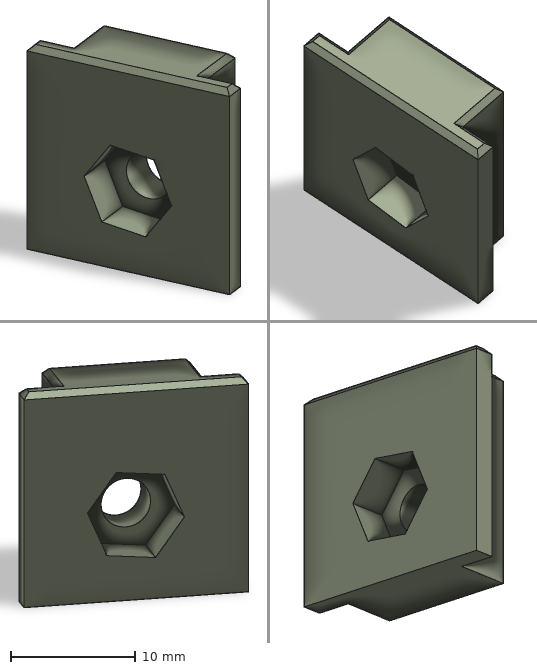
import cadquery as cq
import math

width = 18.6
depth = 6.85
height = 18.0

flange_thickness = 1.85
block_width = 12.25
block_offset = -0.05
top_chamfer = 0.5

hole_diameter = 4.1
hole_x = -0.04
hole_height = 7.15
hex_across_flats = 7.0
hex_rotation = -6.3
hex_depth = 3.5


def make_body():
    """Flange and block, bevelled around the whole top outline."""
    half_width = width / 2
    block_left = block_offset - block_width / 2
    block_right = block_offset + block_width / 2
    outline = [
        (-half_width, 0),
        (half_width, 0),
        (half_width, flange_thickness),
        (block_right, flange_thickness),
        (block_right, depth),
        (block_left, depth),
        (block_left, flange_thickness),
        (-half_width, flange_thickness),
    ]
    body = cq.Workplane("XY").polyline(outline).close().extrude(height)
    return body.faces(">Z").edges().chamfer(top_chamfer)


def front_plane():
    """Front face plane centred on the hole, with its normal pointing into the part."""
    return cq.Plane(origin=(hole_x, 0, hole_height), xDir=(-1, 0, 0), normal=(0, 1, 0))


def make_hole():
    return cq.Workplane(front_plane()).circle(hole_diameter / 2).extrude(depth)


def make_nut_pocket():
    across_corners = hex_across_flats / math.cos(math.radians(30))
    pocket = cq.Workplane(front_plane()).polygon(6, across_corners).extrude(hex_depth)
    axis_start = (hole_x, 0, hole_height)
    axis_end = (hole_x, -1, hole_height)
    return pocket.rotate(axis_start, axis_end, hex_rotation)


result = make_body().cut(make_hole()).cut(make_nut_pocket())